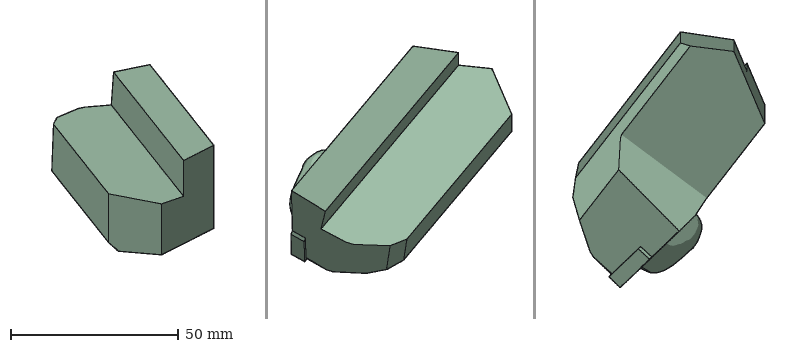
import cadquery as cq

length = 76.7
top_height = 36.0
back_depth = 34.7
far_depth = 41.3
trim_size = 3 * length

rail_front = 22.7
step_back_height = 24.1
step_front_height = 27.15
bevel_top = 10.9
bevel_depth = 7.75
bevel_bottom = 3.1
floor_back_height = 0.5

ramp_start = 23.4
ramp_end = 35.7
high_floor = 8.3
ramp_radius = 3.8

tip_depth = 13.95
tip_front = 68.65
tip_back = 64.75

rail_front_corner = (7.7, rail_front, top_height)
rail_back_corner = (6.45, back_depth, top_height)
step_corner = (5.6, rail_front, step_back_height)
heel_corner = (1.0, 29.8, 0.8)
taper_toe = (24.55, 33.3, 0.8)
strip_upper = (6.75, 13.9, 25.3)
strip_lower = (3.6, 16.0, 8.75)
strip_floor = (2.3, 17.95, 2.45)
cheek_front_upper = (13.65, 2.7, 26.8)
cheek_front_lower = (12.0, 2.7, 9.6)
cheek_lower = (4.2, 14.1, 8.5)
cheek_floor = (2.9, 16.0, 2.4)
front_corner_upper = (18.3, 0, step_front_height)
chamfer_front = (2.4, 16.9, 2.2)
chamfer_back_upper = (0.9, 29.5, 1.3)
chamfer_back_lower = (1.5, 29.5, 0.9)

strap_width = 4.7
strap_thickness = 0.85
strap_edge_radius = 0.4
strap_top_point = (2.6, 31.6, 12.7)
strap_top_normal = (-0.7, 0.0, 1.0)
strap_end_point = (13.1, 30.7, 0.85)
strap_end_normal = (1.0, 0.0, -1.0)

grip_levels = (
    (29.9, 4.2, 29.6, 3.45, 23.0),
    (back_depth, 7.1, 29.3, 4.75, 22.8),
    (37.35, 9.0, 28.7, 6.4, 22.3),
    (40.0, 14.95, 26.7, 9.2, 19.7),
    (far_depth, 19.95, 23.0, 13.6, 16.4),
)
grip_outline = ((0, 0.35), (0.3, 0.85), (0.7, 1), (1, 0.6), (0.7, 0.1), (0.3, 0))
grip_flat_point = (8.05, 34.5, 7.7)
grip_flat_normal = (-1.0, 0.2, -0.3)

end_face = (rail_front_corner, rail_back_corner, step_corner)
back_taper = (rail_back_corner, heel_corner, taper_toe)
floor_face = (
    (0, bevel_depth, bevel_bottom),
    (length, bevel_depth, bevel_bottom),
    (0, back_depth, floor_back_height),
)
strip_face = (strip_upper, strip_lower, cheek_lower)
lower_strip_face = (strip_lower, cheek_lower, strip_floor)
cheek_face = (cheek_front_upper, cheek_front_lower, cheek_lower)
lower_cheek_face = (cheek_lower, cheek_front_lower, cheek_floor)
front_corner_face = (front_corner_upper, cheek_front_upper, cheek_front_lower)
heel_chamfer_face = (chamfer_front, chamfer_back_upper, chamfer_back_lower)

core = cq.Vector(length / 2, 15.35, 15.35)


def outward(face):
    """Unit normal of the plane through three points, pointing away from the housing core."""
    a, b, c = (cq.Vector(*point) for point in face)
    normal = (b - a).cross(c - a).normalized()
    return normal if normal.dot(a - core) > 0 else normal * -1


def cut_beyond(body, point, normal):
    """Remove everything on the side of a plane that its normal points to."""
    plane = cq.Plane(origin=point, normal=normal)
    return body.cut(cq.Workplane(plane).rect(trim_size, trim_size).extrude(trim_size))


def trim(body, face, offset=0):
    """Remove everything outside a three-point face, moved outwards by an offset."""
    normal = outward(face)
    return cut_beyond(body, cq.Vector(*face[0]) + normal * offset, normal)


def make_block():
    """Stepped section along the length, with the raised right floor and the pointed right end."""
    block = (
        cq.Workplane("YZ")
        .polyline([
            (0, bevel_top),
            (0, step_front_height),
            (rail_front, step_back_height),
            (rail_front, top_height),
            (back_depth, top_height),
            (back_depth, floor_back_height),
            (bevel_depth, bevel_bottom),
        ])
        .close()
        .extrude(length)
    )
    relief = (
        cq.Workplane("XZ")
        .polyline([(ramp_start, 0), (ramp_end, high_floor), (length, high_floor), (length, 0)])
        .close()
        .extrude(-back_depth)
        .edges(cq.selectors.NearestToPointSelector((ramp_end, back_depth / 2, high_floor)))
        .fillet(ramp_radius)
    )
    plan = (
        cq.Workplane("XY")
        .polyline([(0, 0), (tip_front, 0), (length, tip_depth), (tip_back, back_depth), (0, back_depth)])
        .close()
        .extrude(top_height)
    )
    return block.cut(relief).intersect(plan)


def make_strap():
    """L-shaped strap from the end face to the floor, along the tapered back."""
    strap = cq.Workplane("XY").box(length, back_depth, top_height, centered=(True, False, True))
    strap = trim(strap, end_face, strap_thickness)
    strap = trim(strap, floor_face, strap_thickness)
    corner = cq.selectors.NearestToPointSelector((0, back_depth / 2, 0))
    strap = strap.edges(corner).fillet(strap_edge_radius)
    strap = trim(strap, back_taper)
    inward = outward(back_taper) * -1
    strap = cut_beyond(strap, cq.Vector(*heel_corner) + inward * strap_width, inward)
    strap = cut_beyond(strap, strap_top_point, strap_top_normal)
    return cut_beyond(strap, strap_end_point, strap_end_normal)


def make_housing():
    """Block with the sloped faces of its left end, and the strap on it."""
    housing = make_block()
    for face in (
        end_face,
        back_taper,
        strip_face,
        lower_strip_face,
        cheek_face,
        lower_cheek_face,
        front_corner_face,
        heel_chamfer_face,
    ):
        housing = trim(housing, face)
    return housing.union(make_strap())


def make_grip(housing):
    """Rounded grip on the back, shaped to sit on the housing."""
    outlines = []
    for depth, left, right, bottom, top in grip_levels:
        points = [
            cq.Vector(left + across * (right - left), depth, bottom + up * (top - bottom))
            for across, up in grip_outline
        ]
        outlines.append(cq.Wire.assembleEdges([cq.Edge.makeSpline(points, periodic=True)]))
    grip = cq.Workplane(obj=cq.Solid.makeLoft(outlines))
    grip = cut_beyond(grip, grip_flat_point, grip_flat_normal)
    return grip.cut(housing)


housing = make_housing()
grip = make_grip(housing)
result = cq.Compound.makeCompound([housing.val(), grip.val()])